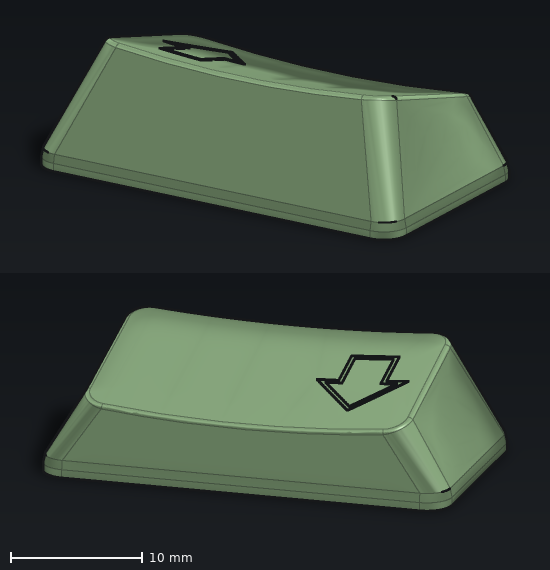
import cadquery as cq
import math

LENGTH = 32.45
WIDTH = 18.16
CORNER_RADIUS = 2.0
RIM_HEIGHT = 0.65
SHOULDER_HEIGHT = 1.35
SHOULDER_INSET = 0.15

TOP_LENGTH = 25.6
TOP_CORNER_RADIUS = 2.0
TOP_FRONT_Y = -4.98
TOP_FRONT_Z = 10.06
TOP_BACK_Y = 8.65
TOP_BACK_Z = 6.25
TOP_EDGE_RADIUS = 0.4

DISH_RADIUS = 112.0
DISH_DEPTH = 0.85

ARROW_X = -7.5
ARROW_TIP_Y = 5.8
ARROW_HEAD_BASE_Y = 1.77
ARROW_TAIL_Y = -1.6
ARROW_HEAD_WIDTH = 7.3
ARROW_SHAFT_WIDTH = 3.8
ARROW_LINE_WIDTH = 0.36
ARROW_DEPTH = 0.05

top_rise = TOP_FRONT_Z - TOP_BACK_Z
top_run = TOP_BACK_Y - TOP_FRONT_Y
slope_length = math.hypot(top_run, top_rise)

rim_plane = cq.Plane.XY(origin=(0, 0, RIM_HEIGHT))
shoulder_plane = cq.Plane.XY(origin=(0, 0, SHOULDER_HEIGHT))
top_plane = cq.Plane(
    origin=(0, (TOP_FRONT_Y + TOP_BACK_Y) / 2, (TOP_FRONT_Z + TOP_BACK_Z) / 2),
    xDir=(1, 0, 0),
    normal=(0, top_rise, top_run),
)


def rounded_rectangle(plane, length, width, radius):
    """Closed wire of a round-cornered rectangle centred on the plane."""
    x = length / 2
    y = width / 2
    x_inner = x - radius
    y_inner = y - radius
    return (
        cq.Workplane(plane)
        .moveTo(-x_inner, -y)
        .lineTo(x_inner, -y)
        .radiusArc((x, -y_inner), -radius)
        .lineTo(x, y_inner)
        .radiusArc((x_inner, y), -radius)
        .lineTo(-x_inner, y)
        .radiusArc((-x, y_inner), -radius)
        .lineTo(-x, -y_inner)
        .radiusArc((-x_inner, -y), -radius)
        .close()
        .val()
    )


def ruled_loft(lower_wire, upper_wire):
    """Solid with straight-ruled walls between two matching outlines."""
    return cq.Workplane(cq.Solid.makeLoft([lower_wire, upper_wire], True))


def make_blank():
    """Straight rim, narrow sloping shoulder and tapered walls up to the flat sloping top."""
    rim_outline = rounded_rectangle(rim_plane, LENGTH, WIDTH, CORNER_RADIUS)
    shoulder_outline = rounded_rectangle(
        shoulder_plane,
        LENGTH - 2 * SHOULDER_INSET,
        WIDTH - 2 * SHOULDER_INSET,
        CORNER_RADIUS - SHOULDER_INSET,
    )
    top_outline = rounded_rectangle(top_plane, TOP_LENGTH, slope_length, TOP_CORNER_RADIUS)
    rim = cq.Workplane(cq.Solid.extrudeLinear(rim_outline, [], cq.Vector(0, 0, -RIM_HEIGHT)))
    shoulder = ruled_loft(rim_outline, shoulder_outline)
    walls = ruled_loft(shoulder_outline, top_outline)
    return rim.union(shoulder).union(walls)


def make_dish(radius):
    """Cylinder about the dish axis, long enough to pass through the whole top."""
    axis_height = DISH_RADIUS - DISH_DEPTH
    axis = top_plane.yDir
    start = top_plane.toWorldCoords((0, -slope_length, axis_height))
    return cq.Workplane(cq.Solid.makeCylinder(radius, 2 * slope_length, start, axis))


def make_arrow_cutter():
    """Ring along the arrow outline, reaching one engraving depth below the dish."""
    half_head = ARROW_HEAD_WIDTH / 2
    half_shaft = ARROW_SHAFT_WIDTH / 2
    outline = (
        cq.Workplane("XY")
        .moveTo(ARROW_X, ARROW_TIP_Y)
        .lineTo(ARROW_X + half_head, ARROW_HEAD_BASE_Y)
        .lineTo(ARROW_X + half_shaft, ARROW_HEAD_BASE_Y)
        .lineTo(ARROW_X + half_shaft, ARROW_TAIL_Y)
        .lineTo(ARROW_X - half_shaft, ARROW_TAIL_Y)
        .lineTo(ARROW_X - half_shaft, ARROW_HEAD_BASE_Y)
        .lineTo(ARROW_X - half_head, ARROW_HEAD_BASE_Y)
        .close()
        .val()
    )
    inner_outlines = outline.offset2D(-ARROW_LINE_WIDTH, "intersection")
    ring = cq.Workplane(cq.Solid.extrudeLinear(outline, inner_outlines, cq.Vector(0, 0, TOP_FRONT_Z)))
    return ring.intersect(make_dish(DISH_RADIUS + ARROW_DEPTH))


def make_keycap():
    dished = make_blank().cut(make_dish(DISH_RADIUS))
    top_face = dished.faces(cq.selectors.NearestToPointSelector(top_plane.origin.toTuple()))
    rounded = top_face.edges().fillet(TOP_EDGE_RADIUS)
    return rounded.cut(make_arrow_cutter())


result = make_keycap()